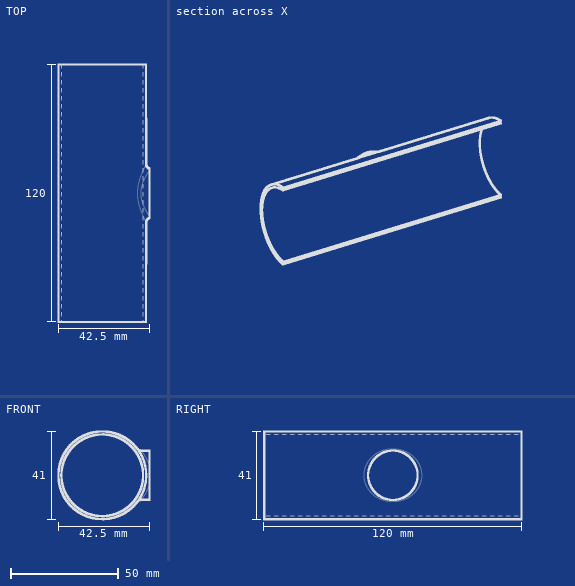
import cadquery as cq

tube_outer_diameter = 41.0
tube_bore_diameter = 38.0
tube_length = 120.0

boss_diameter = 23.0
boss_height = 1.5
boss_fillet_radius = 2.0

tube_outer_radius = tube_outer_diameter / 2
boss_face_x = tube_outer_radius + boss_height

trim_length = 2 * boss_fillet_radius


def cylinder_along_y(diameter):
    """Full-length cylinder on the tube axis, its seam line facing -X, away from the boss."""
    return cq.Workplane(cq.Plane((0, 0, 0), xDir=(-1, 0, 0), normal=(0, 1, 0))).circle(diameter / 2).extrude(tube_length / 2, both=True)


def make_untrimmed_boss():
    """Boss cylinder from the tube axis outward along +X."""
    return cq.Workplane("YZ").circle(boss_diameter / 2).extrude(boss_face_x + trim_length)


def make_trim_block():
    """Block that covers everything beyond the boss face."""
    width = 2 * boss_diameter
    return cq.Workplane("YZ", origin=(boss_face_x, 0, 0)).rect(width, width).extrude(2 * trim_length)


def edge_at_boss_root(body):
    """The one curved edge where the boss cylinder meets the tube."""
    half_width = boss_diameter / 2 + boss_fillet_radius
    root_zone = cq.selectors.BoxSelector(
        (0, -half_width, -half_width),
        (boss_face_x, half_width, half_width),
        boundingbox=False,
    )
    return body.edges("not(%LINE or %CIRCLE)").edges(root_zone)


body = cylinder_along_y(tube_outer_diameter).union(make_untrimmed_boss())
body = edge_at_boss_root(body).fillet(boss_fillet_radius)
body = body.cut(make_trim_block())
result = body.cut(cylinder_along_y(tube_bore_diameter))